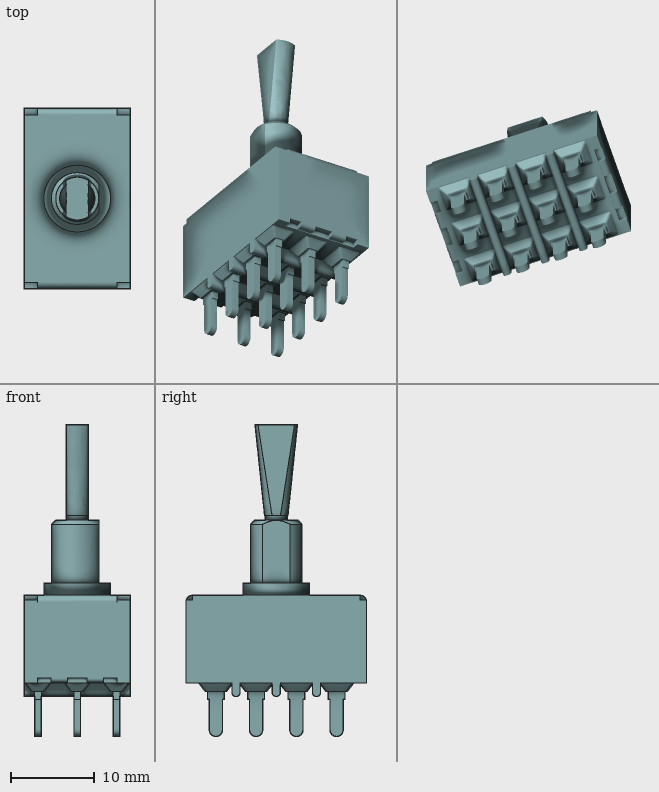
import cadquery as cq
import math

CASE_X = 12.7
CASE_Y = 21.6
CASE_TOP = 9.95

FRAME_TOP = 10.52
FRAME_LEG_X = 9.48
FRAME_LEG_T = 0.9
FRAME_LEG_BOTTOM = 0.65
FRAME_BEND_R = 0.8

TAB_X = 1.98
TAB_SPACING = 4.33
TAB_BOTTOM = 0.07
TAB_BEND_R = 0.45

TERMINAL_PITCH_X = 4.7
TERMINAL_PITCH_Y = 4.8
TERMINAL_COLUMNS = 3
TERMINAL_ROWS = 4
TERMINAL_T = 0.82
TERMINAL_Y = 1.6
TERMINAL_TIP = -6.38
SHOULDER_Y = 2.05
SHOULDER_BOTTOM = -1.95

MOUND_BASE_X = 3.02
MOUND_BASE_Y = 4.05
MOUND_INSET = 0.8
MOUND_H = 1.0
MOUND_CORNER_R = 0.3

RIDGE_T = 1.0
RIDGE_BOTTOM = -1.6

FLANGE_D = 8.0
FLANGE_TOP = 11.98
BUSHING_D = 6.2
BUSHING_TOP = 19.5
BUSHING_CHAMFER = 0.52
BUSHING_FLAT_X = 2.6
BORE_D = 4.2
BALL_Z = 13.05

STEM_D = 2.65
LEVER_T = 2.65
LEVER_BOTTOM = 20.07
LEVER_TOP = 30.93
LEVER_BOTTOM_Y = 2.85
LEVER_TOP_Y = 5.1


def box(size_x, size_y, z_low, z_high, x=0.0, y=0.0):
    """Upright block centred on (x, y) between two heights."""
    block = cq.Workplane("XY").box(size_x, size_y, z_high - z_low, centered=(True, True, False))
    return block.translate((x, y, z_low))


def cylinder(diameter, z_low, z_high):
    """Upright cylinder on the Z axis between two heights."""
    return cq.Workplane("XY", origin=(0, 0, z_low)).circle(diameter / 2).extrude(z_high - z_low)


def row(count, pitch):
    """Centred, evenly pitched positions."""
    return [(i - (count - 1) / 2) * pitch for i in range(count)]


def round_nosed_bar(length_x, width_y, z_low, z_high, x=0.0, y=0.0):
    """Bar along X whose lower end is a half circle across its width."""
    radius = width_y / 2
    bar = (
        cq.Workplane("YZ")
        .moveTo(-radius, z_high)
        .lineTo(-radius, z_low + radius)
        .threePointArc((0, z_low), (radius, z_low + radius))
        .lineTo(radius, z_high)
        .close()
        .extrude(length_x / 2, both=True)
    )
    return bar.translate((x, y, 0))


def make_frame():
    """Top plate with two bent-down end legs and their locking tabs."""
    plate = box(CASE_X, CASE_Y - 2 * FRAME_BEND_R, CASE_TOP, FRAME_TOP)
    strap = box(FRAME_LEG_X, CASE_Y, FRAME_LEG_BOTTOM, FRAME_TOP)
    strap = strap.edges("|X and >Z").fillet(FRAME_BEND_R)
    strap = strap.cut(box(FRAME_LEG_X, CASE_Y - 2 * FRAME_LEG_T, FRAME_LEG_BOTTOM, CASE_TOP))
    frame = plate.union(strap)
    tab_y = (CASE_Y - FRAME_LEG_T) / 2
    for side in (-1, 1):
        for x in row(2, TAB_SPACING):
            tab = box(TAB_X, FRAME_LEG_T, TAB_BOTTOM, FRAME_LEG_BOTTOM, x, side * tab_y)
            outer = ">Y" if side > 0 else "<Y"
            tab = tab.faces(outer).edges("<Z").fillet(TAB_BEND_R)
            frame = frame.union(tab)
    return frame


def make_case():
    """Block with a recess for the frame leg at each end."""
    case = box(CASE_X, CASE_Y, 0, CASE_TOP)
    for side in (-1, 1):
        leg_y = side * (CASE_Y - FRAME_LEG_T) / 2
        case = case.cut(box(FRAME_LEG_X, FRAME_LEG_T, 0, CASE_TOP, y=leg_y))
    return case


def make_bushing():
    """Flange and chamfered bushing with a keying flat."""
    flange = cylinder(FLANGE_D, FRAME_TOP, FLANGE_TOP)
    bushing = cylinder(BUSHING_D, FLANGE_TOP, BUSHING_TOP).faces(">Z").chamfer(BUSHING_CHAMFER)
    bushing = bushing.intersect(
        box(BUSHING_D, BUSHING_D, FLANGE_TOP, BUSHING_TOP, x=BUSHING_FLAT_X - BUSHING_D / 2)
    )
    return flange.union(bushing)


def make_ball():
    """Sphere on the lever pivot."""
    return cq.Workplane("XY").sphere(BORE_D / 2).translate((0, 0, BALL_Z))


def make_bore():
    """Space for the lever: straight bore with a hemispherical end."""
    bore = cylinder(BORE_D, BALL_Z, BUSHING_TOP)
    return bore.union(make_ball())


def make_mound(x, y):
    """Truncated pyramid with rounded corners under the case around one terminal root."""
    return (
        cq.Workplane("XY", origin=(x, y, 0))
        .rect(MOUND_BASE_X, MOUND_BASE_Y)
        .workplane(offset=-MOUND_H)
        .rect(MOUND_BASE_X - 2 * MOUND_INSET, MOUND_BASE_Y - 2 * MOUND_INSET)
        .loft(ruled=True)
        .edges("not(|X or |Y)")
        .fillet(MOUND_CORNER_R)
    )


def make_terminal(x, y):
    """Flat round-tipped pin with a wider shoulder below its mound."""
    pin = round_nosed_bar(TERMINAL_T, TERMINAL_Y, TERMINAL_TIP, 0, x, y)
    return pin.union(box(TERMINAL_T, SHOULDER_Y, SHOULDER_BOTTOM, 0, x, y))


def make_housing():
    """Case with barriers and terminals, joined to the frame with its bored bushing."""
    base = make_case()
    for y in row(TERMINAL_ROWS - 1, TERMINAL_PITCH_Y):
        base = base.union(round_nosed_bar(CASE_X, RIDGE_T, RIDGE_BOTTOM, 0, y=y))
    for x in row(TERMINAL_COLUMNS, TERMINAL_PITCH_X):
        for y in row(TERMINAL_ROWS, TERMINAL_PITCH_Y):
            base = base.union(make_mound(x, y)).union(make_terminal(x, y))
    cover = make_frame().union(make_bushing()).cut(make_bore())
    return base.union(cover, clean=False)


def lever_section(z, width_y):
    """Wire of a circle of the given diameter trimmed by two flats to the lever thickness."""
    half_x = LEVER_T / 2
    radius = width_y / 2
    half_flat = math.sqrt(radius**2 - half_x**2)
    return (
        cq.Workplane("XY", origin=(0, 0, z))
        .moveTo(-half_x, -half_flat)
        .threePointArc((0, -radius), (half_x, -half_flat))
        .lineTo(half_x, half_flat)
        .threePointArc((0, radius), (-half_x, half_flat))
        .close()
        .val()
    )


def make_lever():
    """Pivot ball, round stem and flared handle."""
    stem = cylinder(STEM_D, BALL_Z, LEVER_BOTTOM)
    sections = [lever_section(LEVER_BOTTOM, LEVER_BOTTOM_Y), lever_section(LEVER_TOP, LEVER_TOP_Y)]
    handle = cq.Workplane(cq.Solid.makeLoft(sections, True))
    return make_ball().union(stem).union(handle)


housing = make_housing()
lever = make_lever()

result = cq.Compound.makeCompound([housing.solids().val(), lever.solids().val()])